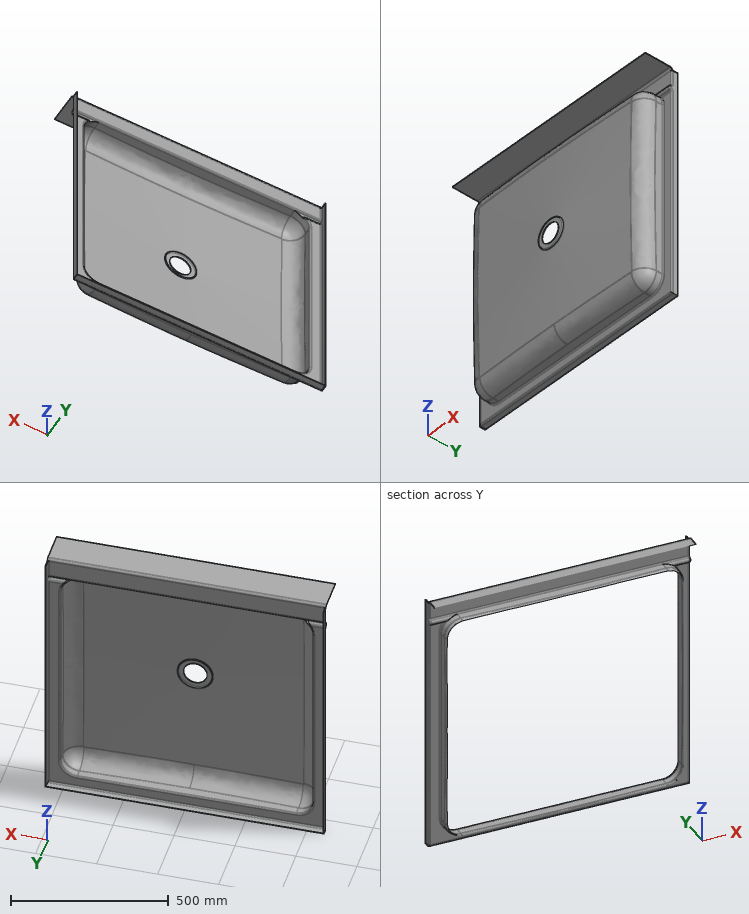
import cadquery as cq
import math

WIDTH = 914.4
HEIGHT = 914.4
TOTAL_DEPTH = 139.7
SHEET = 3.175

RIM_DEPTH = 27.0
SKIRT_BEND = 6.35
FLANGE_BEND = 9.525

BEAD_RADIUS = 9.525
BEAD_ROOT = 3.175
BEAD_DROP = 80.5

BASIN_SIDE_MARGIN = 40.5
BASIN_BOTTOM_MARGIN = 40.5
BASIN_TOP_MARGIN = 71.5
FLOOR_EDGE = 57.15
BASIN_CORNER = 57.5
BASIN_ROOT = 3.175

FLOOR_DEPTH = 130.7
FLOOR_SLOPE = math.radians(2.3)
DRAIN_SEAT_RADIUS = 59.0
DRAIN_SEAT_HEIGHT = 3.9
DRAIN_SEAT_EDGE = 3.8
DRAIN_HOLE_RADIUS = 38.5

RIM_TOP = HEIGHT - FLANGE_BEND
BEAD_Z = HEIGHT - BEAD_DROP
DRAIN_Z = HEIGHT / 2
CONE_REACH = WIDTH
OVERCUT = 20.0
NEAR = 0.01


def rim_outline(inset, overrun):
    """Closed side outline of the rim and its bead, inset from the outer faces."""
    face = inset - RIM_DEPTH
    crown = BEAD_RADIUS - inset
    root = BEAD_ROOT + inset
    root_y = -RIM_DEPTH - BEAD_ROOT
    root_rise = math.sqrt((BEAD_RADIUS + BEAD_ROOT) ** 2 - BEAD_ROOT ** 2)
    lean = math.asin(BEAD_ROOT / (BEAD_RADIUS + BEAD_ROOT))
    join_y = -RIM_DEPTH - crown * math.sin(lean)
    join_rise = crown * math.cos(lean)
    half_turn = (math.pi / 2 - lean) / 2
    mid_y = root_y + root * math.cos(half_turn)
    mid_rise = root_rise - root * math.sin(half_turn)
    return (
        cq.Workplane("YZ")
        .moveTo(overrun, inset)
        .lineTo(face, inset)
        .lineTo(face, BEAD_Z - root_rise)
        .threePointArc((mid_y, BEAD_Z - mid_rise), (join_y, BEAD_Z - join_rise))
        .threePointArc((-RIM_DEPTH - crown, BEAD_Z), (join_y, BEAD_Z + join_rise))
        .threePointArc((mid_y, BEAD_Z + mid_rise), (face, BEAD_Z + root_rise))
        .lineTo(face, RIM_TOP + overrun)
        .lineTo(overrun, RIM_TOP + overrun)
        .close()
    )


def rim_body(inset, overrun):
    """Solid rim and skirt with the bead, rounded along the sides and bottom."""
    half_width = WIDTH / 2 - inset
    body = rim_outline(inset, overrun).extrude(half_width, both=True)

    def is_bend(edge):
        place = edge.Center()
        on_front = place.y < inset - RIM_DEPTH + NEAR
        on_side = abs(abs(place.x) - half_width) < NEAR
        on_bottom = abs(place.z - inset) < NEAR
        return on_front and (on_side or on_bottom)

    bends = [edge for edge in body.edges().vals() if is_bend(edge)]
    return body.newObject(bends).fillet(SKIRT_BEND - inset)


def floor_cone(inset):
    """Solid from the back plane to the shallow conical floor around the drain."""
    seat_depth = FLOOR_DEPTH - inset / math.cos(FLOOR_SLOPE)
    outer_depth = seat_depth - (CONE_REACH - DRAIN_SEAT_RADIUS) * math.tan(FLOOR_SLOPE)
    outline = [
        (0, 0),
        (0, -CONE_REACH),
        (-outer_depth, -CONE_REACH),
        (-seat_depth, -DRAIN_SEAT_RADIUS),
        (-seat_depth, 0),
    ]
    return (
        cq.Workplane("YZ")
        .polyline(outline)
        .close()
        .revolve(360, (0, 0, 0), (1, 0, 0))
        .translate((0, 0, DRAIN_Z))
    )


def basin_body(inset):
    """Solid basin with rounded corners, rounded floor edge and a flared root."""
    face = inset - RIM_DEPTH
    width = WIDTH - 2 * (BASIN_SIDE_MARGIN + inset)
    bottom = BASIN_BOTTOM_MARGIN + inset
    height = HEIGHT - BASIN_TOP_MARGIN - inset - bottom
    root = BASIN_ROOT + inset
    back_plane = cq.Workplane("XZ", origin=(0, 0, bottom + height / 2))

    block = back_plane.rect(width, height).extrude(TOTAL_DEPTH)
    basin = block.intersect(floor_cone(inset)).edges("|Y").fillet(BASIN_CORNER - inset)

    def is_floor_edge(edge):
        place = edge.Center()
        reach = math.hypot(place.x, place.z - DRAIN_Z)
        return edge.BoundingBox().ymax < -2 * RIM_DEPTH and reach > height / 3

    floor_edges = [edge for edge in basin.edges().vals() if is_floor_edge(edge)]
    basin = basin.newObject(floor_edges).fillet(FLOOR_EDGE - inset)

    slab = back_plane.rect(width + 3 * root, height + 3 * root).extrude(-face)
    basin = slab.union(basin)

    def is_root_edge(edge):
        box = edge.BoundingBox()
        on_face = max(abs(box.ymin - face), abs(box.ymax - face)) < NEAR
        in_width = max(-box.xmin, box.xmax) < width / 2 + NEAR
        in_height = bottom - NEAR < box.zmin and box.zmax < bottom + height + NEAR
        return on_face and in_width and in_height

    root_edges = [edge for edge in basin.edges().vals() if is_root_edge(edge)]
    return basin.newObject(root_edges).fillet(root)


def drain_seat(inset):
    """Round seat standing off the floor around the drain hole."""
    return (
        cq.Workplane("XZ", origin=(0, 0, DRAIN_Z))
        .workplane(offset=FLOOR_DEPTH / 2)
        .circle(DRAIN_SEAT_RADIUS - inset)
        .extrude(FLOOR_DEPTH / 2 + DRAIN_SEAT_HEIGHT - inset)
        .faces("<Y")
        .edges()
        .fillet(DRAIN_SEAT_EDGE - inset)
    )


def tray_body(inset, overrun):
    """Rim, basin and drain seat as one solid, inset from the outer faces."""
    return rim_body(inset, overrun).union(basin_body(inset)).union(drain_seat(inset))


def top_flange():
    """Sheet bent off the top of the rim and reaching over the basin."""
    rim_back = SHEET - RIM_DEPTH
    bend_y = rim_back - FLANGE_BEND
    inner_bend = FLANGE_BEND - SHEET
    diagonal = math.sqrt(0.5)
    return (
        cq.Workplane("YZ")
        .moveTo(rim_back, RIM_TOP)
        .threePointArc(
            (bend_y + FLANGE_BEND * diagonal, RIM_TOP + FLANGE_BEND * diagonal),
            (bend_y, HEIGHT),
        )
        .lineTo(-TOTAL_DEPTH, HEIGHT)
        .lineTo(-TOTAL_DEPTH, HEIGHT - SHEET)
        .lineTo(bend_y, HEIGHT - SHEET)
        .threePointArc(
            (bend_y + inner_bend * diagonal, RIM_TOP + inner_bend * diagonal),
            (-RIM_DEPTH, RIM_TOP),
        )
        .close()
        .extrude(WIDTH / 2, both=True)
    )


def drain_hole():
    """Cutter for the hole through the drain seat."""
    return (
        cq.Workplane("XZ", origin=(0, 0, DRAIN_Z))
        .circle(DRAIN_HOLE_RADIUS)
        .extrude(TOTAL_DEPTH)
    )


tray = tray_body(0, 0).cut(tray_body(SHEET, OVERCUT))
result = tray.union(top_flange()).cut(drain_hole())